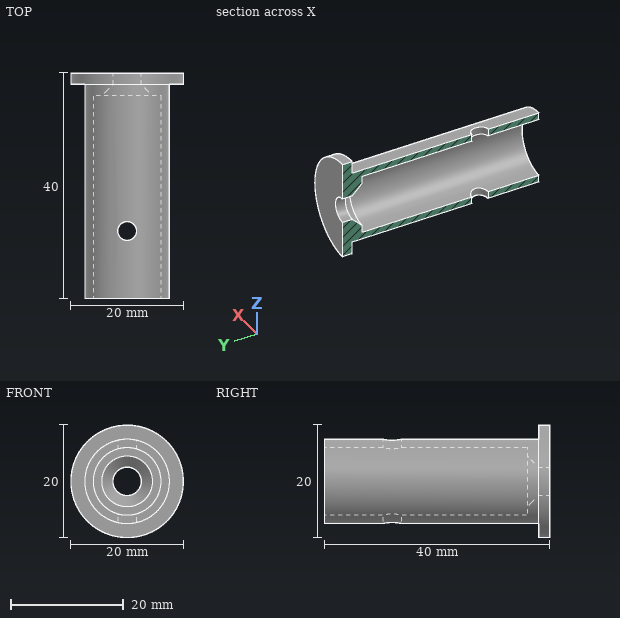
import cadquery as cq

total_length = 40.0
flange_diameter = 20.0
flange_thickness = 2.0
tube_diameter = 15.0
bore_diameter = 12.0

end_wall_thickness = 4.0
screw_hole_diameter = 5.0
countersink_diameter = 9.0
countersink_angle = 90.0

cross_hole_diameter = 3.3
cross_hole_from_open_end = 12.0

bore_depth = total_length - end_wall_thickness


def make_body():
    """Tube with its open end at Y = 0 and a flange at the far end."""
    tube = cq.Workplane("XZ").circle(tube_diameter / 2).extrude(-total_length)
    flange = (
        cq.Workplane("XZ", origin=(0, total_length - flange_thickness, 0))
        .circle(flange_diameter / 2)
        .extrude(-flange_thickness)
    )
    return tube.union(flange)


def cut_bore(body):
    """Flat-bottomed bore from the open end."""
    bore = cq.Workplane("XZ").circle(bore_diameter / 2).extrude(-bore_depth)
    return body.cut(bore)


def cut_screw_hole(body):
    """Countersunk hole through the end wall, with the countersink facing the bore."""
    return (
        body.copyWorkplane(cq.Workplane("XZ", origin=(0, bore_depth, 0)))
        .cskHole(screw_hole_diameter, countersink_diameter, countersink_angle, end_wall_thickness)
    )


def cut_cross_hole(body):
    """Straight hole through both tube walls."""
    drill = (
        cq.Workplane("XY", origin=(0, cross_hole_from_open_end, 0))
        .circle(cross_hole_diameter / 2)
        .extrude(tube_diameter, both=True)
    )
    return body.cut(drill)


result = cut_cross_hole(cut_screw_hole(cut_bore(make_body())))